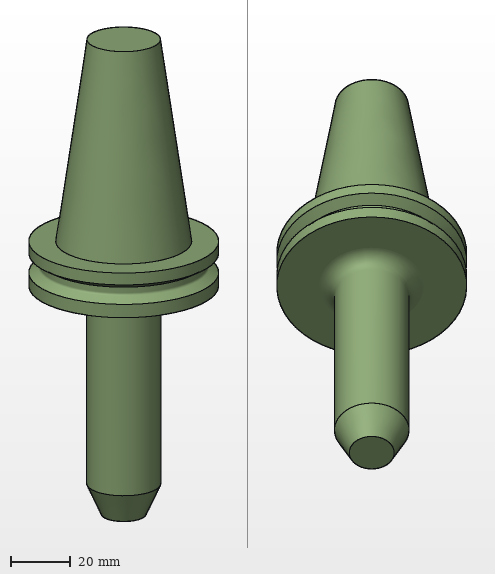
import cadquery as cq
import math

TOTAL_LENGTH = 168.4
TAPER_LENGTH = 71.5
FLANGE_THICKNESS = 15.8
NOSE_LENGTH = 11.0

TAPER_SMALL_DIAMETER = 24.6
TAPER_RATIO = 7 / 24
FLANGE_DIAMETER = 63.5
GROOVE_DIAMETER = 56.2
SHANK_DIAMETER = 25.0
NOSE_TIP_DIAMETER = 15.0

UPPER_RIM_THICKNESS = 4.2
LOWER_RIM_THICKNESS = 4.7
GROOVE_FLANK_ANGLE = 30
GROOVE_CORNER_RADIUS = 1.0

SHANK_FILLET_RADIUS = 5.0

taper_base_z = TOTAL_LENGTH - TAPER_LENGTH
flange_bottom_z = taper_base_z - FLANGE_THICKNESS
groove_top_z = taper_base_z - UPPER_RIM_THICKNESS
groove_bottom_z = flange_bottom_z + LOWER_RIM_THICKNESS

taper_small_radius = TAPER_SMALL_DIAMETER / 2
taper_large_radius = taper_small_radius + TAPER_LENGTH * TAPER_RATIO / 2
flange_radius = FLANGE_DIAMETER / 2
groove_radius = GROOVE_DIAMETER / 2
shank_radius = SHANK_DIAMETER / 2
nose_tip_radius = NOSE_TIP_DIAMETER / 2

flank_angle = math.radians(GROOVE_FLANK_ANGLE)
flank_height = (flange_radius - groove_radius) * math.tan(flank_angle)

corner_turn = math.pi / 2 - flank_angle
corner_tangent = GROOVE_CORNER_RADIUS * math.tan(corner_turn / 2)
corner_z = groove_bottom_z + flank_height
corner_center_x = groove_radius + GROOVE_CORNER_RADIUS
corner_center_z = corner_z + corner_tangent


def corner_arc_point(turn):
    """Point on the corner arc, turned downward from the groove floor."""
    return (
        corner_center_x - GROOVE_CORNER_RADIUS * math.cos(turn),
        corner_center_z - GROOVE_CORNER_RADIUS * math.sin(turn),
    )


fillet_offset = SHANK_FILLET_RADIUS * (1 - math.cos(math.pi / 4))

profile = (
    cq.Workplane("XZ")
    .moveTo(0, 0)
    .lineTo(nose_tip_radius, 0)
    .lineTo(shank_radius, NOSE_LENGTH)
    .lineTo(shank_radius, flange_bottom_z - SHANK_FILLET_RADIUS)
    .threePointArc(
        (shank_radius + fillet_offset, flange_bottom_z - fillet_offset),
        (shank_radius + SHANK_FILLET_RADIUS, flange_bottom_z),
    )
    .lineTo(flange_radius, flange_bottom_z)
    .lineTo(flange_radius, groove_bottom_z)
    .lineTo(*corner_arc_point(corner_turn))
    .threePointArc(corner_arc_point(corner_turn / 2), corner_arc_point(0))
    .lineTo(groove_radius, groove_top_z - flank_height)
    .lineTo(flange_radius, groove_top_z)
    .lineTo(flange_radius, taper_base_z)
    .lineTo(taper_large_radius, taper_base_z)
    .lineTo(taper_small_radius, TOTAL_LENGTH)
    .lineTo(0, TOTAL_LENGTH)
    .close()
)

result = profile.revolve(360, (0, 0, 0), (0, 1, 0))